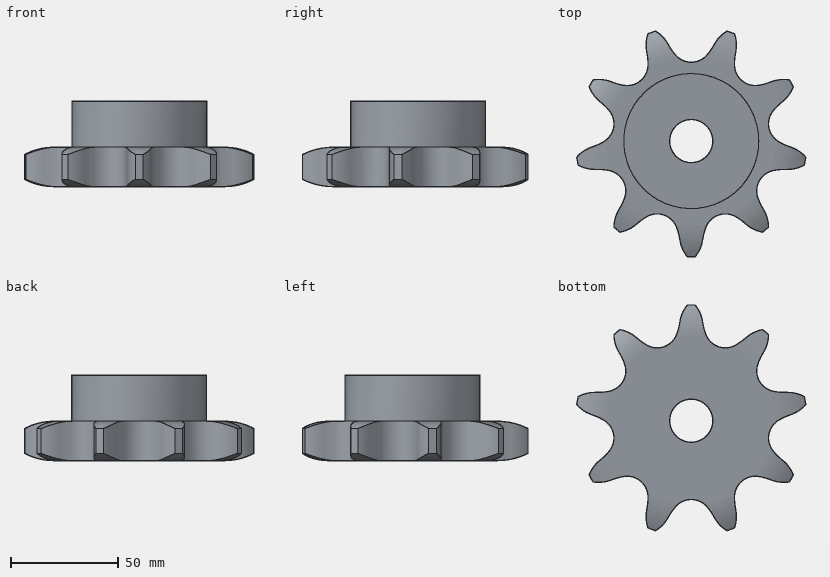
import cadquery as cq
import math


tooth_count = 9
chain_pitch = 31.8
roller_diameter = 0.6 * chain_pitch
seat_radius = 9.6
overall_width = 106.9
plate_thickness = 18.5
total_height = 40.0
hub_diameter = 63.0
bore_diameter = 20.0
side_rounding_start = 39.6
rim_margin = 3.2

half_step = math.pi / tooth_count
seat_angle = math.radians(35 + 60 / tooth_count)
working_angle = math.radians(18 - 56 / tooth_count)
flank_angle = seat_angle - working_angle

pitch_radius = chain_pitch / (2 * math.sin(half_step))
working_center_offset = 0.8 * roller_diameter
working_radius = seat_radius + working_center_offset
topping_center_offset = 1.4 * roller_diameter
topping_radius = (
    working_center_offset * math.cos(working_angle)
    + topping_center_offset * math.cos(flank_angle - half_step)
    - working_radius
)
side_rounding_radius = chain_pitch


def step(start, distance, angle):
    """Point at a distance from start, in the direction of an angle."""
    return (start[0] + distance * math.cos(angle), start[1] + distance * math.sin(angle))


def rotate(point, angle):
    """Point turned about the sprocket axis."""
    x, y = point
    return (
        x * math.cos(angle) - y * math.sin(angle),
        x * math.sin(angle) + y * math.cos(angle),
    )


def gap_side_points():
    """Left side of the tooth gap centered on +Y, from gap bottom to tooth tip.

    The order is: gap bottom, mid and end of the seat arc, mid and end of the
    working arc, end of the straight flank, mid and end of the topping arc.
    """
    seat_center = (0, pitch_radius)
    working_center = step(seat_center, working_center_offset, seat_angle)
    topping_center = step(seat_center, topping_center_offset, math.pi + half_step)

    bottom = step(seat_center, seat_radius, -math.pi / 2)
    seat_mid = step(seat_center, seat_radius, math.pi + (seat_angle + math.pi / 2) / 2)
    seat_end = step(seat_center, seat_radius, math.pi + seat_angle)
    working_mid = step(working_center, working_radius, math.pi + (seat_angle + flank_angle) / 2)
    working_end = step(working_center, working_radius, math.pi + flank_angle)
    flank_end = step(topping_center, topping_radius, flank_angle)

    turn_to_widest = (math.pi - half_step) / 2
    widest_center_x = rotate(topping_center, turn_to_widest)[0]
    widest_corner_angle = math.acos((-overall_width / 2 - widest_center_x) / topping_radius)
    tip_angle = widest_corner_angle - turn_to_widest
    topping_mid = step(topping_center, topping_radius, (flank_angle + tip_angle) / 2)
    tip = step(topping_center, topping_radius, tip_angle)
    return [bottom, seat_mid, seat_end, working_mid, working_end, flank_end, topping_mid, tip]


def tooth_outline():
    """Closed outline of all teeth, drawn gap by gap counterclockwise."""
    left_side = gap_side_points()
    right_side = [(-x, y) for x, y in left_side]
    first_tip = right_side[-1]
    outline = cq.Workplane("XY").moveTo(*first_tip)
    for gap in range(tooth_count):
        turn = 2 * half_step * gap
        right = [rotate(point, turn) for point in right_side]
        bottom, seat_mid, seat_end, working_mid, working_end, flank_end, topping_mid, tip = right
        if gap > 0:
            outline = outline.lineTo(*tip)
        outline = (
            outline.threePointArc(topping_mid, flank_end)
            .lineTo(*working_end)
            .threePointArc(working_mid, seat_end)
            .threePointArc(seat_mid, bottom)
        )
        left = [rotate(point, turn) for point in left_side]
        bottom, seat_mid, seat_end, working_mid, working_end, flank_end, topping_mid, tip = left
        outline = (
            outline.threePointArc(seat_mid, seat_end)
            .threePointArc(working_mid, working_end)
            .lineTo(*flank_end)
            .threePointArc(topping_mid, tip)
        )
    return outline.close()


def rounded_blank():
    """Disc whose top and bottom faces curve toward each other near the rim."""

    def drop(radius):
        run = radius - side_rounding_start
        return side_rounding_radius - math.sqrt(side_rounding_radius**2 - run**2)

    rim_radius = overall_width / 2 + rim_margin
    mid_radius = (side_rounding_start + rim_radius) / 2
    return (
        cq.Workplane("XZ")
        .lineTo(side_rounding_start, 0)
        .threePointArc((mid_radius, drop(mid_radius)), (rim_radius, drop(rim_radius)))
        .lineTo(rim_radius, plate_thickness - drop(rim_radius))
        .threePointArc(
            (mid_radius, plate_thickness - drop(mid_radius)),
            (side_rounding_start, plate_thickness),
        )
        .lineTo(0, plate_thickness)
        .close()
        .revolve(360, (0, 0), (0, 1))
    )


toothed_plate = tooth_outline().extrude(plate_thickness).intersect(rounded_blank())
hub = cq.Workplane("XY").circle(hub_diameter / 2).extrude(total_height)
bore = cq.Workplane("XY").circle(bore_diameter / 2).extrude(total_height)

result = toothed_plate.union(hub).cut(bore)